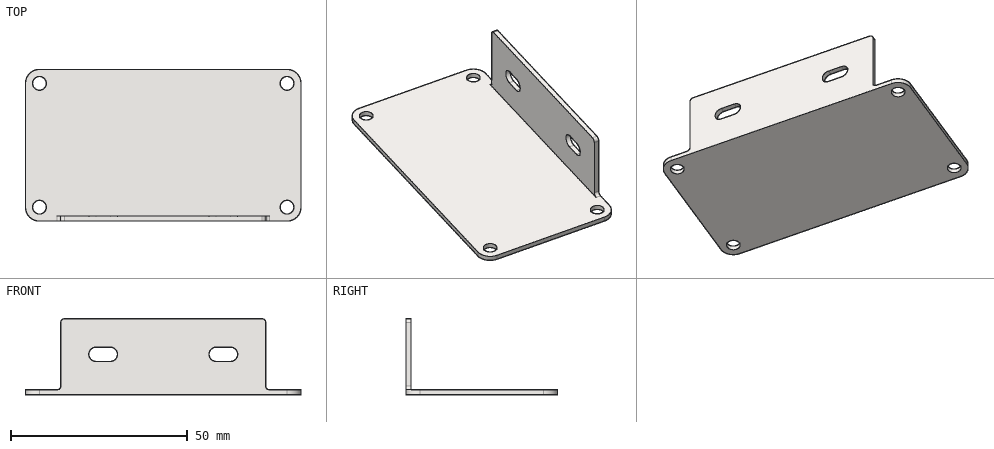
import cadquery as cq

length = 78.0
depth = 43.0
thickness = 1.5
corner_radius = 4.0
hole_diameter = 3.8
hole_inset = corner_radius

total_height = 21.5
flange_width = 58.0
flange_top_radius = 1.0
flange_root_radius = 1.0

slot_length = 8.0
slot_height = 4.0
slot_spacing = 34.0
slot_center_z = 11.5

front_y = -depth / 2


def make_plate():
    """Rounded rectangular plate with a hole at each corner."""
    return (
        cq.Workplane("XY")
        .box(length, depth, thickness, centered=(True, True, False))
        .edges("|Z")
        .fillet(corner_radius)
        .faces(">Z")
        .workplane()
        .rect(length - 2 * hole_inset, depth - 2 * hole_inset, forConstruction=True)
        .vertices()
        .hole(hole_diameter)
    )


def make_flange():
    """Slotted upright wall, flush with the front edge, flaring out at its root."""
    wall = (
        cq.Workplane("XZ", origin=(0, front_y, 0))
        .center(0, total_height / 2)
        .rect(flange_width, total_height)
        .extrude(-thickness)
        .edges("|Y and >Z")
        .fillet(flange_top_radius)
    )
    slots = (
        cq.Workplane("XZ", origin=(0, front_y, slot_center_z))
        .rarray(slot_spacing, 0.8, 2, 1)
        .slot2D(slot_length, slot_height)
        .extrude(-thickness)
    )
    return wall.cut(slots)


def make_root_fillet(side):
    """Concave fillet between the plate and one end of the flange (side is -1 or 1)."""
    inner_x = side * flange_width / 2
    outer_x = inner_x + side * flange_root_radius
    top_z = thickness + flange_root_radius
    square = (
        cq.Workplane("XZ", origin=(0, front_y, 0))
        .moveTo(inner_x, 0)
        .lineTo(outer_x, 0)
        .lineTo(outer_x, top_z)
        .lineTo(inner_x, top_z)
        .close()
        .extrude(-thickness)
    )
    scoop = (
        cq.Workplane("XZ", origin=(0, front_y, 0))
        .center(outer_x, top_z)
        .circle(flange_root_radius)
        .extrude(-thickness)
    )
    return square.cut(scoop)


result = make_plate().union(make_flange())
for side in (-1, 1):
    result = result.union(make_root_fillet(side))